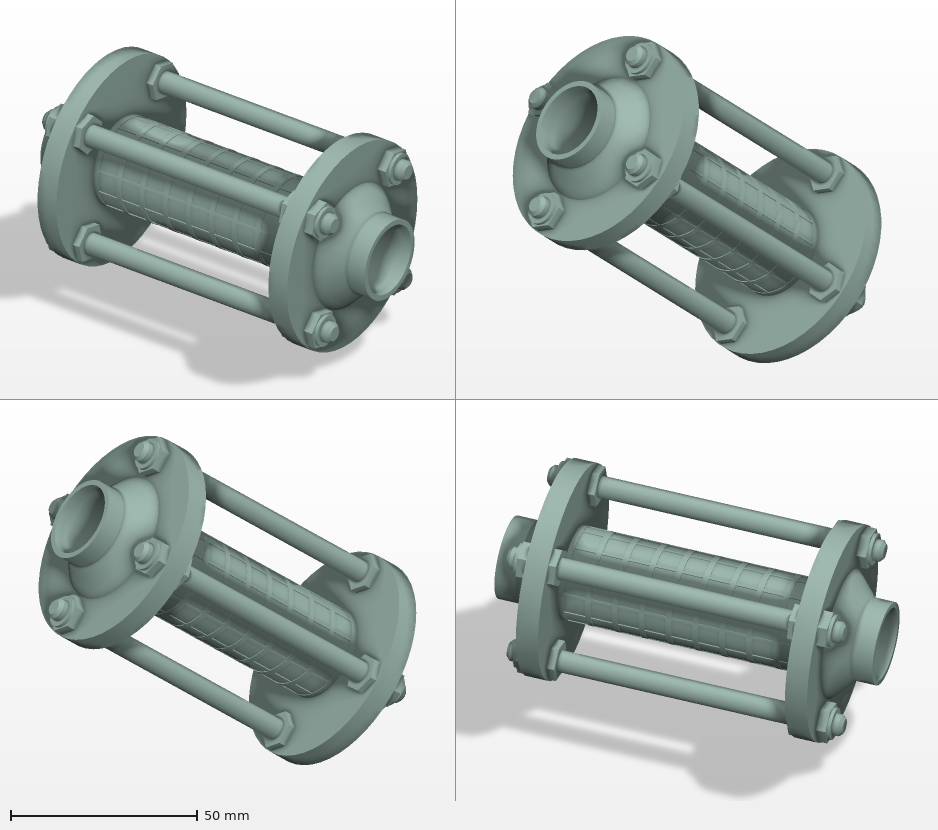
import cadquery as cq
import math


total_length = 107.0
flange_gap = 70.0

flange_diameter = 60.0
flange_thickness = 6.2
neck_diameter = 23.0
neck_length = 6.0
cone_diameter = 36.0
bore_diameter = 20.0

glass_diameter = 25.5
cage_diameter = 26.0
window_length = 6.0
window_rows = 9
ring_width = 1.6
rib_count = 12
rib_width = 0.7
rib_angle_step = 360.0 / rib_count

rod_count = 4
rod_circle_diameter = 48.0
rod_length = 95.0
rod_diameter = 6.0
rod_chamfer = 1.0
nut_across_flats = 9.6
inner_nut_height = 2.0
outer_nut_height = 2.7
collar_diameter = 8.9
collar_height = 1.0

inner_face = flange_gap / 2
outer_face = inner_face + flange_thickness
fitting_end = total_length / 2
nut_corner_diameter = nut_across_flats / math.cos(math.radians(30))
rod_angle_step = 360.0 / rod_count
rod_angles = [(i + 0.5) * rod_angle_step for i in range(rod_count)]


def turn_about_x(body, angle):
    return body.rotate((0, 0, 0), (1, 0, 0), angle)


def cylinder_along_x(diameter, start, end):
    return cq.Workplane("YZ", origin=(start, 0, 0)).circle(diameter / 2).extrude(end - start)


def hexagon_along_x(start, end):
    """Hexagonal prism with two of its corners pointing along Y."""
    return (
        cq.Workplane("YZ", origin=(start, 0, 0))
        .polygon(6, nut_corner_diameter)
        .extrude(end - start)
    )


def tube_along_x(outer_diameter, inner_diameter, length):
    outside = cylinder_along_x(outer_diameter, -length / 2, length / 2)
    return outside.cut(cylinder_along_x(inner_diameter, -length / 2, length / 2))


def make_end_fitting():
    """Flange, cone and pipe neck at the +X end, turned as one piece and drilled for the rods."""
    profile = [
        (inner_face, bore_diameter / 2),
        (inner_face, flange_diameter / 2),
        (outer_face, flange_diameter / 2),
        (outer_face, cone_diameter / 2),
        (fitting_end - neck_length, neck_diameter / 2),
        (fitting_end, neck_diameter / 2),
        (fitting_end, bore_diameter / 2),
    ]
    fitting = cq.Workplane("XY").polyline(profile).close().revolve(360, (0, 0, 0), (1, 0, 0))
    for angle in rod_angles:
        hole = cylinder_along_x(rod_diameter, inner_face, outer_face)
        hole = hole.translate((0, rod_circle_diameter / 2, 0))
        fitting = fitting.cut(turn_about_x(hole, angle))
    return fitting


def make_glass_tube():
    return tube_along_x(glass_diameter, bore_diameter, flange_gap)


def make_cage():
    """Thin sleeve whose windows leave rings around X and straight ribs along X."""
    sleeve = tube_along_x(cage_diameter, glass_diameter, flange_gap)
    window_pitch = window_length + ring_width
    ribs = None
    for i in range(rib_count):
        rib = cq.Workplane("XY").box(flange_gap, cage_diameter, rib_width)
        rib = rib.translate((0, cage_diameter / 2, 0))
        rib = turn_about_x(rib, (i + 0.5) * rib_angle_step)
        ribs = rib if ribs is None else ribs.union(rib)
    for row in range(window_rows):
        centre = (row - (window_rows - 1) / 2) * window_pitch
        windows = tube_along_x(cage_diameter, glass_diameter, window_length)
        sleeve = sleeve.cut(windows.translate((centre, 0, 0)).cut(ribs))
    return sleeve


def make_tie_rod():
    """Chamfered rod on the X axis, with an inner and an outer nut for each flange."""
    rod = cylinder_along_x(rod_diameter, -rod_length / 2, rod_length / 2)
    rod = rod.faces("<X or >X").chamfer(rod_chamfer)
    nut_end = outer_face + outer_nut_height
    nuts = (
        hexagon_along_x(inner_face - inner_nut_height, inner_face)
        .union(hexagon_along_x(outer_face, nut_end))
        .union(cylinder_along_x(collar_diameter, nut_end, nut_end + collar_height))
    )
    return rod.union(nuts).union(nuts.mirror("YZ"))


right_fitting = make_end_fitting()
left_fitting = right_fitting.mirror("YZ")
glass_tube = make_glass_tube()
cage = make_cage()

tie_rod = make_tie_rod().translate((0, rod_circle_diameter / 2, 0))
tie_rods = [turn_about_x(tie_rod, angle) for angle in rod_angles]

result = cq.Compound.makeCompound(
    [right_fitting.val(), left_fitting.val(), glass_tube.val(), cage.val()]
    + [rod.val() for rod in tie_rods]
)